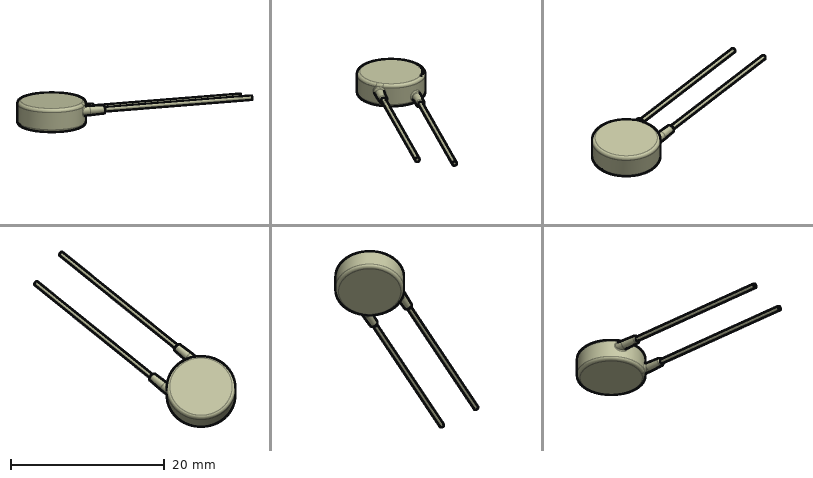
import cadquery as cq
import math

body_diameter = 9.0
body_height = 3.2
body_edge_radius = 0.43
body_radius = body_diameter / 2

overall_length = 31.0
lead_end_y = overall_length - body_radius
lead_spacing_x = 4.95
lead_spacing_z = 1.02
lead_offset_x = lead_spacing_x / 2
lead_offset_z = lead_spacing_z / 2
wire_radius = 0.3

sleeve_tip_diameter = 1.1
sleeve_tip_radius = sleeve_tip_diameter / 2
sleeve_root_radius = 0.62
sleeve_end_y = 6.45
sleeve_edge_radius = 0.2
sleeve_taper_start_y = 4.35
sleeve_start_y = 1.85
root_blend_radius = 0.15

position_tolerance = 0.003


def make_body():
    return cq.Workplane("XY").circle(body_radius).extrude(body_height / 2, both=True)


def make_sleeve(x, z):
    """Straight root and tapered tip, revolved about the lead axis."""
    profile = (
        cq.Workplane("XY")
        .moveTo(0, sleeve_start_y)
        .lineTo(sleeve_root_radius, sleeve_start_y)
        .lineTo(sleeve_root_radius, sleeve_taper_start_y)
        .lineTo(sleeve_tip_radius, sleeve_end_y)
        .lineTo(0, sleeve_end_y)
        .close()
    )
    sleeve = profile.revolve(360, (0, 0, 0), (0, 1, 0))
    return sleeve.faces(">Y").edges().fillet(sleeve_edge_radius).translate((x, 0, z))


def make_wire(x, z):
    wire_length = lead_end_y - sleeve_start_y
    wire = cq.Workplane("XZ").circle(wire_radius).extrude(-wire_length)
    return wire.translate((x, sleeve_start_y, z))


def is_root_edge(edge):
    """True for the curves where a sleeve meets the side of the body."""
    box = edge.BoundingBox()
    middle = edge.positionAt(0.5)
    on_side = math.isclose(math.hypot(middle.x, middle.y), body_radius, abs_tol=position_tolerance)
    on_rim = math.isclose(abs(middle.z), body_height / 2, abs_tol=position_tolerance)
    is_seam = box.zlen > body_height / 2
    return on_side and not on_rim and not is_seam


leads = [(-lead_offset_x, -lead_offset_z), (lead_offset_x, lead_offset_z)]

result = make_body()
for x, z in leads:
    result = result.union(make_sleeve(x, z))

root_edges = [edge for edge in result.edges().vals() if is_root_edge(edge)]
result = result.newObject(root_edges).fillet(root_blend_radius)
result = result.faces("<Z or >Z").edges().fillet(body_edge_radius)

for x, z in leads:
    result = result.union(make_wire(x, z))